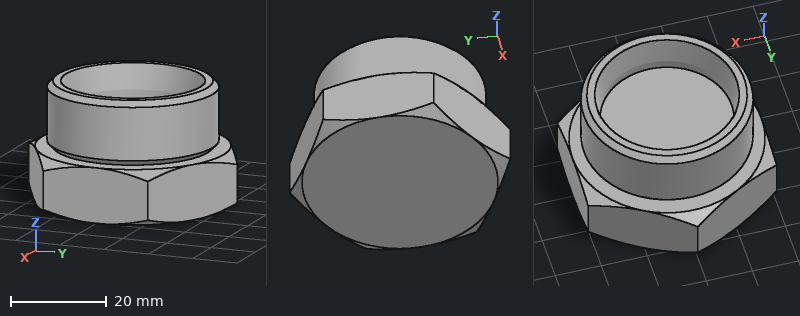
import cadquery as cq
import math

head_sides = 6
across_flats = 41.0
across_corners = across_flats / math.cos(math.pi / head_sides)
head_height = 12.0
head_chamfer_angle = math.radians(30)
corner_radius = across_corners / 2
flat_radius = across_flats / 2
corner_drop = (corner_radius - flat_radius) * math.tan(head_chamfer_angle)

total_height = 26.0
spigot_height = total_height - head_height
spigot_diameter = 36.0
spigot_chamfer = 1.25

bore_mouth_diameter = 30.2
bore_diameter = 28.0
taper_depth = 5.5
bore_depth = 7.5


def revolve_profile(points):
    """Turn a closed (radius, height) outline about the Z axis."""
    return cq.Workplane("XZ").polyline(points).close().revolve(360, (0, 0, 0), (0, 1, 0))


def make_head():
    """Hexagonal prism, corners along Y, with conical chamfers on both end faces."""
    prism = (
        cq.Workplane("XY")
        .polygon(head_sides, across_corners)
        .extrude(head_height)
        .rotate((0, 0, 0), (0, 0, 1), 90)
    )
    chamfer_envelope = revolve_profile([
        (0, 0),
        (flat_radius, 0),
        (corner_radius, corner_drop),
        (corner_radius, head_height - corner_drop),
        (flat_radius, head_height),
        (0, head_height),
    ])
    return prism.intersect(chamfer_envelope)


def make_spigot():
    """Cylinder standing on the head, chamfered at its top and bottom rims."""
    return (
        cq.Workplane("XY")
        .workplane(offset=head_height)
        .circle(spigot_diameter / 2)
        .extrude(spigot_height)
        .edges("%CIRCLE")
        .chamfer(spigot_chamfer)
    )


def make_bore():
    """Volume removed from the top of the spigot."""
    floor_z = total_height - bore_depth
    taper_end_z = total_height - taper_depth
    return revolve_profile([
        (0, floor_z),
        (bore_diameter / 2, floor_z),
        (bore_diameter / 2, taper_end_z),
        (bore_mouth_diameter / 2, total_height),
        (0, total_height),
    ])


result = make_head().union(make_spigot()).cut(make_bore())